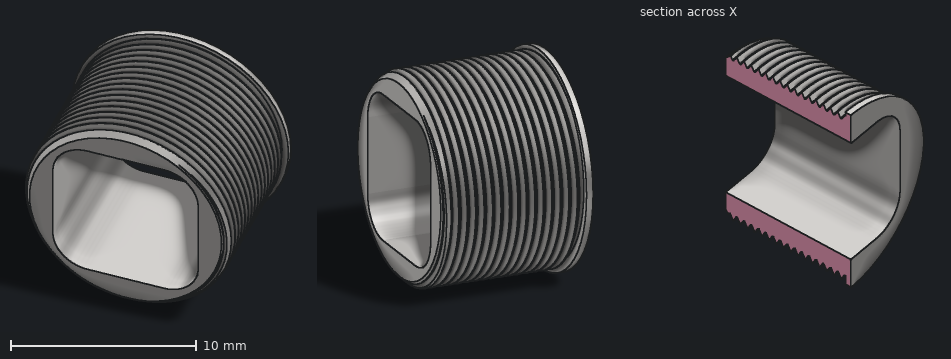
import cadquery as cq
import math

flange_diameter = 12.5
flange_thickness = 0.4
total_length = 8.7
barrel_length = total_length - flange_thickness

major_diameter = 12.0
major_radius = major_diameter / 2
thread_pitch = 0.5
thread_depth = 0.38
overrun_turns = 2
crest_flat = 0.05
root_flat = 0.05
core_overrun = 1.5
root_overlap = 0.01
root_radius = major_radius - thread_depth
crest_offset = 0.39

chamfer_radial = 0.45
chamfer_axial = 0.5
crest_clearance = 0.12

opening_width = 8.4
opening_corner_radius = 2.0


def make_thread_ridge():
    """Helical ridge of whole turns running past both ends of the barrel."""
    start = crest_offset - overrun_turns * thread_pitch
    turns = math.ceil(barrel_length / thread_pitch) + 2 * overrun_turns
    height = turns * thread_pitch
    base_radius = root_radius - root_overlap
    base_half = (thread_pitch - root_flat) / 2
    crest_half = crest_flat / 2
    corners = [
        (base_radius, start - base_half),
        (major_radius, start - crest_half),
        (major_radius, start + crest_half),
        (base_radius, start + base_half),
    ]

    helices = [
        cq.Wire.makeHelix(thread_pitch, height, radius).translate(cq.Vector(0, 0, z))
        for radius, z in corners
    ]
    next_helices = helices[1:] + helices[:1]
    faces = [cq.Face.makeRuledSurface(first, second) for first, second in zip(helices, next_helices)]

    for lift in (0, height):
        outline = [cq.Vector(radius, 0, z + lift) for radius, z in corners]
        faces.append(cq.Face.makeFromWires(cq.Wire.makePolygon(outline, close=True)))
    return cq.Solid.makeSolid(cq.Shell.makeShell(faces))


def make_envelope():
    """Chamfered solid of the barrel's length, standing clear of the thread crests."""
    end_radius = major_radius - chamfer_radial
    outer_radius = major_radius + crest_clearance
    cone_height = (outer_radius - end_radius) * chamfer_axial / chamfer_radial
    return (
        cq.Workplane("XZ")
        .lineTo(end_radius, 0)
        .lineTo(outer_radius, cone_height)
        .lineTo(outer_radius, barrel_length)
        .lineTo(0, barrel_length)
        .close()
        .revolve(360, (0, 0, 0), (0, 1, 0))
        .val()
    )


def make_opening():
    return (
        cq.Workplane("XY")
        .rect(opening_width, opening_width)
        .extrude(total_length)
        .edges("|Z")
        .fillet(opening_corner_radius)
        .val()
    )


def make_threaded_barrel():
    """Overlong core fused with the ridge, then trimmed to the barrel."""
    core = (
        cq.Workplane("XY")
        .workplane(offset=-core_overrun)
        .circle(root_radius)
        .extrude(barrel_length + 2 * core_overrun)
        .val()
    )
    return core.fuse(make_thread_ridge()).intersect(make_envelope())


def make_flange():
    return cq.Solid.makeCylinder(flange_diameter / 2, flange_thickness, cq.Vector(0, 0, barrel_length))


body = make_threaded_barrel().fuse(make_flange()).cut(make_opening())

result = cq.Workplane(body.Solids()[0]).rotate((0, 0, 0), (1, 0, 0), -90)